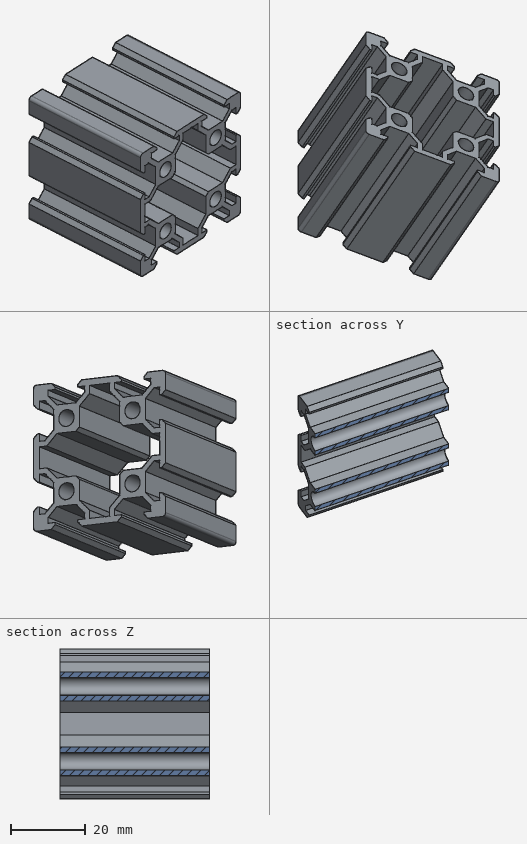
import cadquery as cq
import math

length = 40.0
module = 20.0
side = 2 * module
half_side = side / 2
corner_radius = 1.0

bore_diameter = 4.6
bore_centre = module / 2
core_half_width = 3.9
wall = 1.5
skin = 1.8

mouth_half_width = 4.6
throat_half_width = 3.4
mouth_depth = mouth_half_width - throat_half_width
slot_half_width = 5.5

web_offset = wall / math.sqrt(2)
core_flat = core_half_width - web_offset

slot_positions = (-bore_centre, bore_centre)
side_angles = (0, 90, 180, 270)


def extrude_section(sketch):
    """Extrude a YZ section over the full length."""
    return sketch.extrude(length / 2, both=True)


def make_bar():
    """Solid square bar with rounded long edges."""
    bar = extrude_section(cq.Workplane("YZ").rect(side, side))
    return bar.edges("|X").fillet(corner_radius)


def make_slot(centre):
    """T-slot in the +Z side, with its middle at Y = centre."""
    lip_underside = half_side - skin
    web_start = bore_centre + slot_half_width + web_offset
    slot_floor = bore_centre + core_half_width
    right_half = [
        (mouth_half_width, half_side),
        (throat_half_width, half_side - mouth_depth),
        (throat_half_width, lip_underside),
        (slot_half_width, lip_underside),
        (slot_half_width, web_start),
        (core_flat, slot_floor),
    ]
    left_half = [(-y, z) for y, z in reversed(right_half)]
    outline = [(centre + y, z) for y, z in right_half + left_half]
    return extrude_section(cq.Workplane("YZ").polyline(outline).close())


def make_cavity():
    """Central cavity between the four cores, reaching out to the skin on every side."""
    channel_half_width = bore_centre - slot_half_width - wall
    core_face = bore_centre - core_half_width
    web_start = 2 * bore_centre - channel_half_width - web_offset
    upper_octant = [
        (channel_half_width, half_side - skin),
        (channel_half_width, web_start),
        (core_face, bore_centre + core_flat),
        (core_face, bore_centre - core_flat),
    ]
    lower_octant = [(z, y) for y, z in reversed(upper_octant)]
    quadrant = upper_octant + lower_octant
    outline = []
    for y_sign, z_sign in ((1, 1), (1, -1), (-1, -1), (-1, 1)):
        points = quadrant if y_sign == z_sign else reversed(quadrant)
        outline += [(y_sign * y, z_sign * z) for y, z in points]
    return extrude_section(cq.Workplane("YZ").polyline(outline).close())


def make_bores():
    """Round bore through each of the four cores."""
    centres = [(y, z) for y in slot_positions for z in slot_positions]
    return extrude_section(cq.Workplane("YZ").pushPoints(centres).circle(bore_diameter / 2))


profile = make_bar().cut(make_cavity()).cut(make_bores())
for angle in side_angles:
    for position in slot_positions:
        slot = make_slot(position).rotate((0, 0, 0), (1, 0, 0), angle)
        profile = profile.cut(slot)

result = profile